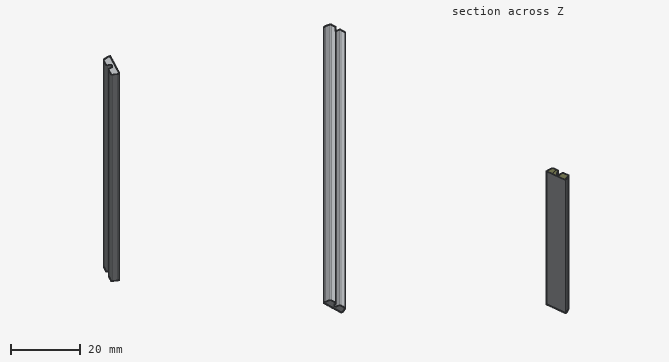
import cadquery as cq

length = 101.6
width = 6.7
thickness = 2.3

side_land = 0.7
side_taper = 0.5

groove_mouth_width = 1.5
groove_bottom_width = 0.7
groove_depth = 1.4

front_edge_radius = 0.3
groove_bottom_radius = 0.3

back = thickness / 2
front = -back
half_width = width / 2
half_front = half_width - side_taper
groove_bottom = front + groove_depth


def strip():
    """Upright bar with tapered sides."""
    return (
        cq.Workplane("XY", origin=(0, 0, -length / 2))
        .moveTo(-half_width, back)
        .lineTo(half_width, back)
        .lineTo(half_width, back - side_land)
        .lineTo(half_front, front)
        .lineTo(-half_front, front)
        .lineTo(-half_width, back - side_land)
        .close()
        .extrude(length)
    )


def groove():
    """Full-length tapered groove with rounded bottom corners."""
    return (
        cq.Workplane("XY", origin=(0, 0, -length / 2))
        .moveTo(-groove_mouth_width / 2, front)
        .lineTo(-groove_bottom_width / 2, groove_bottom)
        .lineTo(groove_bottom_width / 2, groove_bottom)
        .lineTo(groove_mouth_width / 2, front)
        .close()
        .extrude(length)
        .edges("|Z and >Y")
        .fillet(groove_bottom_radius)
    )


result = strip().cut(groove()).faces("<Y").edges("|Z").fillet(front_edge_radius)